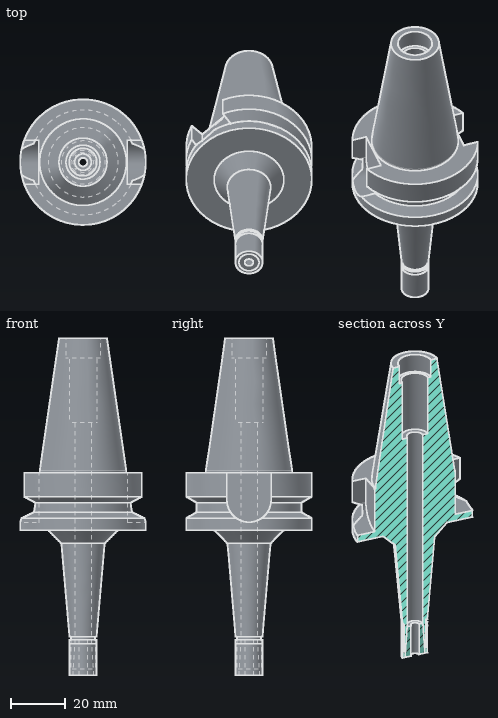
import cadquery as cq
import math

TOTAL_LENGTH = 123.4
GAUGE_Z = 75.0

GAUGE_RADIUS = 31.7 / 2
TAPER_RATIO = 7 / 24
SHANK_TOP_RADIUS = GAUGE_RADIUS - (TOTAL_LENGTH - GAUGE_Z) * TAPER_RATIO / 2
LAND_HEIGHT = 0.9

FLANGE_RADIUS = 46.0 / 2
FLANGE_TOP_Z = GAUGE_Z - LAND_HEIGHT
FLANGE_HEIGHT = 21.1
FLANGE_BOTTOM_Z = FLANGE_TOP_Z - FLANGE_HEIGHT
LOWER_RIM_HEIGHT = 4.5
GROOVE_FLOOR_RADIUS = 38.5 / 2
GROOVE_FLOOR_HEIGHT = 3.5
GROOVE_WALL_ANGLE = 30.0
GROOVE_WALL_HEIGHT = (FLANGE_RADIUS - GROOVE_FLOOR_RADIUS) * math.tan(math.radians(GROOVE_WALL_ANGLE))
GROOVE_BOTTOM_Z = FLANGE_BOTTOM_Z + LOWER_RIM_HEIGHT
GROOVE_FLOOR_BOTTOM_Z = GROOVE_BOTTOM_Z + GROOVE_WALL_HEIGHT
GROOVE_FLOOR_TOP_Z = GROOVE_FLOOR_BOTTOM_Z + GROOVE_FLOOR_HEIGHT
GROOVE_TOP_Z = GROOVE_FLOOR_TOP_Z + GROOVE_WALL_HEIGHT

SLOT_WIDTH = 16.2
SLOT_FLOOR_X = 32.2 / 2
SLOT_BOTTOM_Z = 56.0
SLOT_ARC_Z = SLOT_BOTTOM_Z + SLOT_WIDTH / 2

NOSE_TOP_RADIUS = 15.9 / 2
SHOULDER_HEIGHT = 4.8
SHOULDER_RADIUS = NOSE_TOP_RADIUS + SHOULDER_HEIGHT
NOSE_TOP_Z = FLANGE_BOTTOM_Z - SHOULDER_HEIGHT
NOSE_BOTTOM_RADIUS = 10.0 / 2
NOSE_BOTTOM_Z = 14.1

NUT_RADIUS = 10.0 / 2
NUT_HEIGHT = 13.0
NUT_COLLAR_HEIGHT = 1.5
NUT_COLLAR_RADIUS = 10.1 / 2
NUT_LIP_HEIGHT = 2.5
SPIGOT_RADIUS = 8.9 / 2

COLLET_BORE_RADIUS = 3.1 / 2
COLLET_FRONT_RADIUS = 7.4 / 2
COLLET_TOP_Z = NUT_HEIGHT

COOLANT_BORE_RADIUS = 6.0 / 2
THREAD_BORE_RADIUS = 10.1 / 2
THREAD_BORE_DEPTH = 30.8
COUNTERBORE_RADIUS = 12.5 / 2
COUNTERBORE_DEPTH = 7.2
THREAD_BORE_Z = TOTAL_LENGTH - THREAD_BORE_DEPTH
COUNTERBORE_Z = TOTAL_LENGTH - COUNTERBORE_DEPTH


def turned(profile):
    """Revolve a closed (radius, z) outline about the Z axis."""
    return cq.Workplane("XZ").polyline(profile).close().revolve(360, (0, 0, 0), (0, 1, 0))


def key_slot(side):
    """Round-ended drive slot, open to the top of the flange; side is +1 or -1 along X."""
    half_width = SLOT_WIDTH / 2
    return (
        cq.Workplane("YZ", origin=(side * SLOT_FLOOR_X, 0, 0))
        .moveTo(-half_width, FLANGE_TOP_Z)
        .lineTo(-half_width, SLOT_ARC_Z)
        .threePointArc((0, SLOT_BOTTOM_Z), (half_width, SLOT_ARC_Z))
        .lineTo(half_width, FLANGE_TOP_Z)
        .close()
        .extrude(side * FLANGE_RADIUS)
    )


def make_holder():
    """Turned holder: shank, grooved flange, nose and the spigot carrying the nut."""
    body = turned([
        (COLLET_FRONT_RADIUS, NUT_LIP_HEIGHT),
        (COOLANT_BORE_RADIUS, COLLET_TOP_Z),
        (COOLANT_BORE_RADIUS, THREAD_BORE_Z),
        (THREAD_BORE_RADIUS, THREAD_BORE_Z),
        (THREAD_BORE_RADIUS, COUNTERBORE_Z),
        (COUNTERBORE_RADIUS, COUNTERBORE_Z),
        (COUNTERBORE_RADIUS, TOTAL_LENGTH),
        (SHANK_TOP_RADIUS, TOTAL_LENGTH),
        (GAUGE_RADIUS, GAUGE_Z),
        (GAUGE_RADIUS, FLANGE_TOP_Z),
        (FLANGE_RADIUS, FLANGE_TOP_Z),
        (FLANGE_RADIUS, GROOVE_TOP_Z),
        (GROOVE_FLOOR_RADIUS, GROOVE_FLOOR_TOP_Z),
        (GROOVE_FLOOR_RADIUS, GROOVE_FLOOR_BOTTOM_Z),
        (FLANGE_RADIUS, GROOVE_BOTTOM_Z),
        (FLANGE_RADIUS, FLANGE_BOTTOM_Z),
        (SHOULDER_RADIUS, FLANGE_BOTTOM_Z),
        (NOSE_TOP_RADIUS, NOSE_TOP_Z),
        (NOSE_BOTTOM_RADIUS, NOSE_BOTTOM_Z),
        (SPIGOT_RADIUS, NOSE_BOTTOM_Z),
        (SPIGOT_RADIUS, NUT_LIP_HEIGHT),
    ])
    for side in (-1, 1):
        body = body.cut(key_slot(side))
    return body


def make_nut():
    """Clamping nut on the spigot, with a slightly raised rear collar and a front lip."""
    collar_z = NUT_HEIGHT - NUT_COLLAR_HEIGHT
    return turned([
        (COLLET_FRONT_RADIUS, 0),
        (NUT_RADIUS, 0),
        (NUT_RADIUS, collar_z),
        (NUT_COLLAR_RADIUS, collar_z),
        (NUT_COLLAR_RADIUS, NUT_HEIGHT),
        (SPIGOT_RADIUS, NUT_HEIGHT),
        (SPIGOT_RADIUS, NUT_LIP_HEIGHT),
        (COLLET_FRONT_RADIUS, NUT_LIP_HEIGHT),
    ])


def make_collet():
    """Collet: straight front in the nut lip, tapered back in the holder socket."""
    return turned([
        (COLLET_BORE_RADIUS, 0),
        (COLLET_FRONT_RADIUS, 0),
        (COLLET_FRONT_RADIUS, NUT_LIP_HEIGHT),
        (COOLANT_BORE_RADIUS, COLLET_TOP_Z),
        (COLLET_BORE_RADIUS, COLLET_TOP_Z),
    ])


holder = make_holder()
nut = make_nut()
collet = make_collet()

result = cq.Compound.makeCompound([holder.val(), nut.val(), collet.val()])